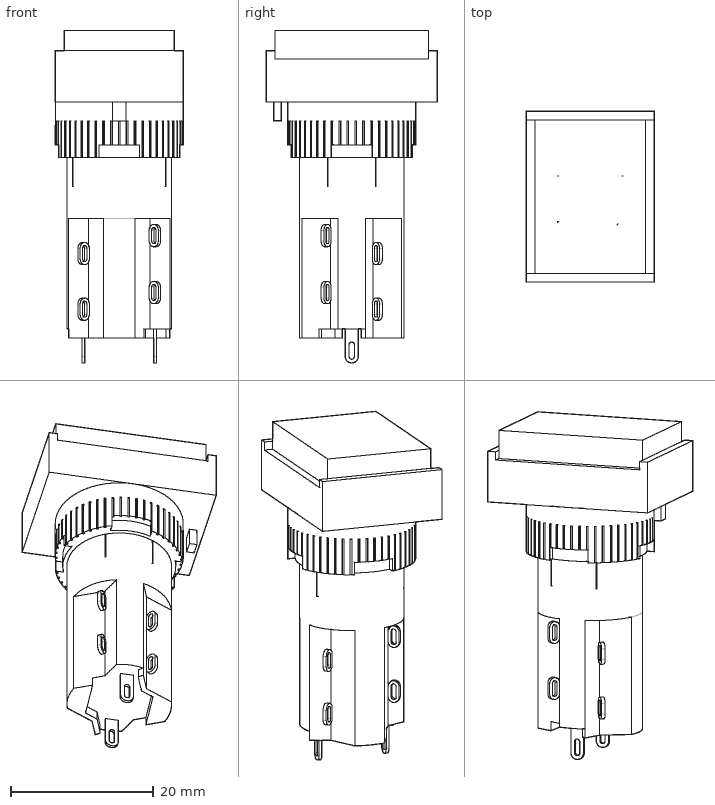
import cadquery as cq
import math


HEAD_X = 18.0
HEAD_Y = 24.0
HEAD_TOP = 7.25
BUTTON_X = 15.5
BUTTON_Y = 21.6
BUTTON_TOP = 10.1
LEDGE_Z = 6.07

KEY_X = 1.85
KEY_Y = 1.07
KEY_CENTRE_Y = -10.4
KEY_DEPTH = 2.6

BARREL_R = 14.7 / 2
BLOCK_TOP = -16.35
BLOCK_BOTTOM = -33.15
WING_HALF_X = 4.45 / 2
WING_HALF_Y = 1.9
CORNER_X = 4.3
CORNER_Y = 3.0

SLIT_Y = 6.78 / 2
SLIT_WIDTH = 0.1
SLIT_DEPTH = 0.45
SLIT_BOTTOM = -11.85

CAVITY_TOP = -31.8
MOUTH_X = 6.6
MOUTH_Y = 1.3
INNER_BEND = (3.7, 2.4)
INNER_END = (2.7, 4.25)
OPEN_EDGE = (3.5, -4.6)

TERMINAL_SLOT = 0.75
END_TERMINAL_WIDTH = 1.85
END_TERMINAL_THICK = 0.4
END_TERMINAL_X = 5.05
END_TERMINAL_TIP = -36.65
END_SLOT_LENGTH = 2.4
SIDE_TERMINAL_WIDTH = 1.65
SIDE_TERMINAL_THICK = 0.5
SIDE_TERMINAL_HEIGHT = 3.15
SIDE_TERMINAL_X = 5.0
SIDE_TERMINAL_Y = 3.6
SIDE_TERMINAL_ANGLE = 38
LOW_PAIR_Z = (-21.25, -29.05)
HIGH_PAIR_Z = (-18.75, -26.75)

RING_R = HEAD_X / 2
RING_LENGTH = 7.8
RING_SLEEVE_R = 7.95
GROOVE_COUNT = 50
GROOVE_WIDTH = 0.25
GROOVE_DEPTH = 0.25
GROOVE_TOP = -2.6
NOTCH_WIDTH = 5.7
NOTCH_TOP = -6.0


def box(size_x, size_y, bottom, top):
    """Upright box around the Z axis between two heights."""
    height = top - bottom
    return cq.Workplane("XY").box(size_x, size_y, height).translate((0, 0, (bottom + top) / 2))


def make_head():
    """Block with an open-sided seat, the button on that seat and the key underneath."""
    head = box(HEAD_X, HEAD_Y, 0, HEAD_TOP)
    head = head.cut(box(HEAD_X, BUTTON_Y, LEDGE_Z, HEAD_TOP))
    button = box(BUTTON_X, BUTTON_Y, LEDGE_Z, BUTTON_TOP)
    key = box(KEY_X, KEY_Y, -KEY_DEPTH, 0).translate((0, KEY_CENTRE_Y, 0))
    return head.union(button).union(key)


def make_barrel():
    """Plain cylinder with four thin slits that start at the lower end of the ring."""
    barrel = cq.Workplane("XY").circle(BARREL_R).extrude(BLOCK_TOP)
    surface_x = math.sqrt(BARREL_R**2 - SLIT_Y**2)
    for side_x in (-1, 1):
        for side_y in (-1, 1):
            slit = box(2 * SLIT_DEPTH, SLIT_WIDTH, SLIT_BOTTOM, -RING_LENGTH)
            barrel = barrel.cut(slit.translate((side_x * surface_x, side_y * SLIT_Y, 0)))
    return barrel


def make_block():
    """Round block with a V-shaped recess in each quadrant and a cavity in its bottom."""
    edge_x = math.sqrt(BARREL_R**2 - WING_HALF_Y**2)
    edge_y = math.sqrt(BARREL_R**2 - WING_HALF_X**2)
    block = (
        cq.Workplane("XY").workplane(offset=BLOCK_TOP)
        .moveTo(edge_x, -WING_HALF_Y)
        .threePointArc((BARREL_R, 0), (edge_x, WING_HALF_Y))
        .lineTo(CORNER_X, CORNER_Y)
        .lineTo(WING_HALF_X, edge_y)
        .threePointArc((0, BARREL_R), (-WING_HALF_X, edge_y))
        .lineTo(-CORNER_X, CORNER_Y)
        .lineTo(-edge_x, WING_HALF_Y)
        .threePointArc((-BARREL_R, 0), (-edge_x, -WING_HALF_Y))
        .lineTo(-CORNER_X, -CORNER_Y)
        .lineTo(-WING_HALF_X, -edge_y)
        .threePointArc((0, -BARREL_R), (WING_HALF_X, -edge_y))
        .lineTo(CORNER_X, -CORNER_Y)
        .close()
        .extrude(BLOCK_BOTTOM - BLOCK_TOP)
    )
    half = [
        OPEN_EDGE,
        (BARREL_R, OPEN_EDGE[1]),
        (BARREL_R, WING_HALF_Y),
        (edge_x, WING_HALF_Y),
        (MOUTH_X, MOUTH_Y),
        INNER_BEND,
        INNER_END,
    ]
    outline = half + [(-x, -y) for x, y in half]
    cavity = (
        cq.Workplane("XY").workplane(offset=BLOCK_BOTTOM)
        .polyline(outline).close().extrude(CAVITY_TOP - BLOCK_BOTTOM)
    )
    return block.cut(cavity)


def make_end_terminal(x):
    """Flat tag that points down, with a rounded tip and a slot."""
    radius = END_TERMINAL_WIDTH / 2
    tip_centre = END_TERMINAL_TIP + radius
    slot_centre = tip_centre - TERMINAL_SLOT / 2 + END_SLOT_LENGTH / 2
    tag = (
        cq.Workplane("YZ")
        .moveTo(-radius, CAVITY_TOP)
        .lineTo(-radius, tip_centre)
        .threePointArc((0, END_TERMINAL_TIP), (radius, tip_centre))
        .lineTo(radius, CAVITY_TOP)
        .close()
        .extrude(END_TERMINAL_THICK / 2, both=True)
    )
    slot = (
        cq.Workplane("YZ").center(0, slot_centre)
        .slot2D(END_SLOT_LENGTH, TERMINAL_SLOT, 90)
        .extrude(END_TERMINAL_THICK, both=True)
    )
    return tag.cut(slot).translate((x, 0, 0))


def make_side_terminal(side_x, side_y, z):
    """Upright slotted loop that stands out of a recess."""
    slot_length = SIDE_TERMINAL_HEIGHT - SIDE_TERMINAL_WIDTH + TERMINAL_SLOT
    loop = (
        cq.Workplane("XZ")
        .slot2D(SIDE_TERMINAL_HEIGHT, SIDE_TERMINAL_WIDTH, 90)
        .slot2D(slot_length, TERMINAL_SLOT, 90)
        .extrude(SIDE_TERMINAL_THICK / 2, both=True)
    )
    turn = SIDE_TERMINAL_ANGLE * side_x * side_y
    loop = loop.rotate((0, 0, 0), (0, 0, 1), turn)
    return loop.translate((side_x * SIDE_TERMINAL_X, side_y * SIDE_TERMINAL_Y, z))


def make_switch():
    """Head, barrel, block and all terminals as one body."""
    switch = make_head().union(make_barrel()).union(make_block())
    for side_x in (-1, 1):
        switch = switch.union(make_end_terminal(side_x * END_TERMINAL_X))
        for side_y in (-1, 1):
            heights = LOW_PAIR_Z if side_x == side_y else HIGH_PAIR_Z
            for z in heights:
                switch = switch.union(make_side_terminal(side_x, side_y, z))
    return switch


def make_ring():
    """Knurled ring around the barrel, with a notch on each side at its lower end."""
    ring = cq.Workplane("XY").circle(RING_R).extrude(-RING_LENGTH)
    grooves = (
        cq.Workplane("XY").workplane(offset=-RING_LENGTH)
        .transformed(rotate=(0, 0, 90))
        .polarArray(RING_R, 0, 360, GROOVE_COUNT)
        .rect(2 * GROOVE_DEPTH, GROOVE_WIDTH)
        .extrude(RING_LENGTH + GROOVE_TOP)
    )
    notches = box(2 * RING_R, NOTCH_WIDTH, -RING_LENGTH, NOTCH_TOP)
    notches = notches.union(box(NOTCH_WIDTH, 2 * RING_R, -RING_LENGTH, NOTCH_TOP))
    sleeve = cq.Workplane("XY").circle(RING_SLEEVE_R).extrude(-RING_LENGTH)
    bore = cq.Workplane("XY").circle(BARREL_R).extrude(-RING_LENGTH)
    return ring.cut(grooves).cut(notches).union(sleeve).cut(bore)


switch = make_switch()
ring = make_ring()

result = cq.Compound.makeCompound([*switch.solids().vals(), *ring.solids().vals()])